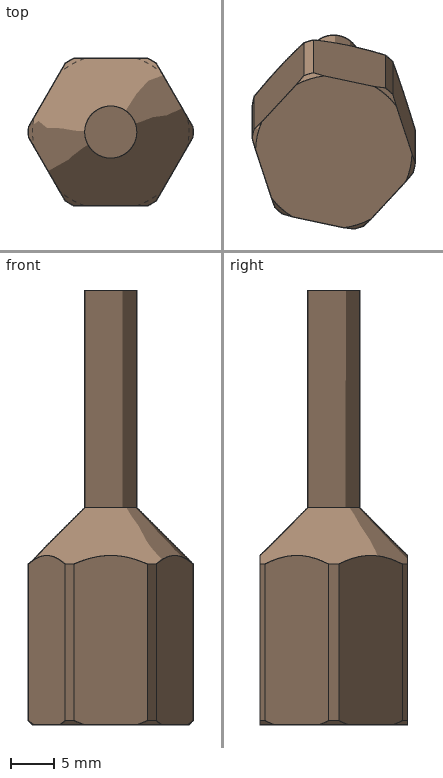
import cadquery as cq

total_height = 50.0
shank_diameter = 6.0
body_diameter = 19.0
across_flats = 17.0
shoulder_height = 25.0
base_chamfer = 0.5
corner_angle = 30.0

shank_radius = shank_diameter / 2
body_radius = body_diameter / 2
cone_height = body_radius - shank_radius
cone_base = shoulder_height - cone_height


def turned_blank():
    """Shank, cone and chamfered body revolved about Z."""
    return (
        cq.Workplane("XZ")
        .lineTo(body_radius - base_chamfer, 0)
        .lineTo(body_radius, base_chamfer)
        .lineTo(body_radius, cone_base)
        .lineTo(shank_radius, shoulder_height)
        .lineTo(shank_radius, total_height)
        .lineTo(0, total_height)
        .close()
        .revolve(360, (0, 0, 0), (0, 1, 0))
    )


def hexagon_bar():
    """Full-height hexagon with corners on the X axis."""
    return (
        cq.Workplane("XY")
        .polygon(6, across_flats, circumscribed=True)
        .extrude(total_height)
        .rotate((0, 0, 0), (0, 0, 1), corner_angle)
    )


result = turned_blank().intersect(hexagon_bar())